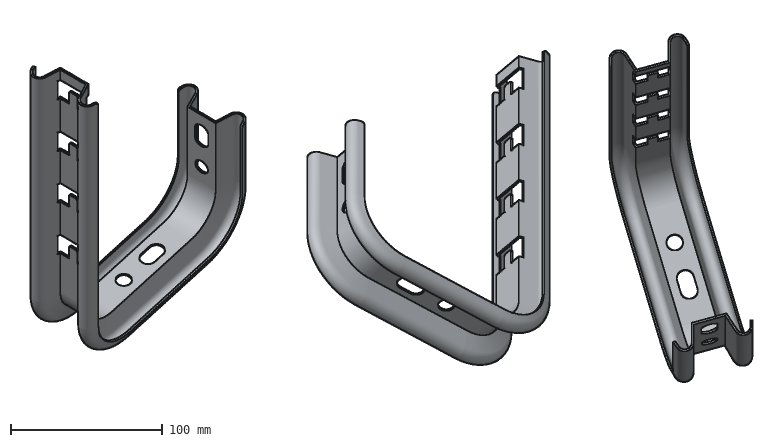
import cadquery as cq
import math

WIDTH = 55.0
SPAN = 170.0
TALL_HEIGHT = 259.0
SHORT_HEIGHT = 109.0

THICKNESS = 1.5
DEPTH = 17.9
LOBE_CENTER_X = 20.2
LOBE_RADIUS = 6.2
SPLAY = math.radians(16)
LIP_CORNER_RADIUS = 2.5

INNER_BEND_RADIUS = 25.0
OUTER_BEND_RADIUS = INNER_BEND_RADIUS + DEPTH

WINDOW_COUNT = 4
WINDOW_PITCH = 50.0
WINDOW_TOP_GAP = 10.0
WINDOW_HEIGHT = 17.9
WINDOW_DEPTH = 3.4
TONGUE_WIDTH = 7.0
TONGUE_HEIGHT = 12.0
TONGUE_CORNER_RADIUS = 1.5

HOLE_DIAMETER = 11.0
SLOT_WIDTH = 11.5
SLOT_LENGTH = 20.2
HOLE_SPACING = 30.0
SHORT_LEG_SLOT_DROP = 20.2

TALL_CROWN_Y = -SPAN / 2
SHORT_CROWN_Y = SPAN / 2
TALL_WEB_Y = TALL_CROWN_Y + DEPTH
SHORT_WEB_Y = SHORT_CROWN_Y - DEPTH
BASE_WEB_Z = DEPTH

LIP_LENGTH = (WIDTH / 2 - LOBE_CENTER_X - LOBE_RADIUS * math.cos(SPLAY)) / math.sin(SPLAY)


def surface_points(radius, web_depth):
    """Web corner, arc start, crown, arc end and lip tip of one sheet surface, as (x, depth)."""
    half_chord = radius * math.cos(SPLAY)
    tangent_depth = LOBE_RADIUS - radius * math.sin(SPLAY)
    arc_start = (LOBE_CENTER_X - half_chord, tangent_depth)
    arc_end = (LOBE_CENTER_X + half_chord, tangent_depth)
    crown = (LOBE_CENTER_X, LOBE_RADIUS - radius)
    web_corner = (arc_start[0] - (web_depth - tangent_depth) * math.tan(SPLAY), web_depth)
    lip_tip = (
        arc_end[0] + LIP_LENGTH * math.sin(SPLAY),
        arc_end[1] + LIP_LENGTH * math.cos(SPLAY),
    )
    return [web_corner, arc_start, crown, arc_end, lip_tip]


def mirrored(points):
    return [(-x, depth) for x, depth in points]


def trace_surface(sketch, points):
    """Continue the outline to one end of a surface half, around its lobe and to the other end."""
    first, arc_first, crown, arc_last, last = points
    return (
        sketch.lineTo(*first)
        .lineTo(*arc_first)
        .threePointArc(crown, arc_last)
        .lineTo(*last)
    )


def channel_section():
    """Closed channel outline at the top of the tall leg, with depth running along +Y."""
    convex = surface_points(LOBE_RADIUS, DEPTH - THICKNESS)
    concave = surface_points(LOBE_RADIUS - THICKNESS, DEPTH)
    plane = cq.Workplane("XY", origin=(0, TALL_CROWN_Y, TALL_HEIGHT))
    sketch = plane.moveTo(0, DEPTH - THICKNESS)
    sketch = trace_surface(sketch, convex)
    sketch = trace_surface(sketch, concave[::-1])
    sketch = trace_surface(sketch, mirrored(concave))
    sketch = trace_surface(sketch, mirrored(convex)[::-1])
    return sketch.close()


def crown_path():
    """Path of the lobe crowns: down the tall leg, across the base and up the short leg."""
    arc_inset = OUTER_BEND_RADIUS * (1 - math.sqrt(0.5))
    return (
        cq.Workplane("YZ")
        .moveTo(TALL_CROWN_Y, TALL_HEIGHT)
        .lineTo(TALL_CROWN_Y, OUTER_BEND_RADIUS)
        .threePointArc(
            (TALL_CROWN_Y + arc_inset, arc_inset),
            (TALL_CROWN_Y + OUTER_BEND_RADIUS, 0),
        )
        .lineTo(SHORT_CROWN_Y - OUTER_BEND_RADIUS, 0)
        .threePointArc(
            (SHORT_CROWN_Y - arc_inset, arc_inset),
            (SHORT_CROWN_Y, OUTER_BEND_RADIUS),
        )
        .lineTo(SHORT_CROWN_Y, SHORT_HEIGHT)
    )


def window_cutter(top_z):
    """Full-width notch through the web and into both flanges, sparing a tongue in the web."""
    bottom_z = top_z - WINDOW_HEIGHT
    notch = cq.Workplane("XY").box(WIDTH, WINDOW_DEPTH, WINDOW_HEIGHT, centered=(True, False, False))
    notch = notch.translate((0, TALL_WEB_Y - WINDOW_DEPTH, bottom_z))
    tongue = (
        cq.Workplane("XY")
        .box(TONGUE_WIDTH, THICKNESS, TONGUE_HEIGHT, centered=(True, False, False))
        .edges("|Y and >Z")
        .fillet(TONGUE_CORNER_RADIUS)
        .translate((0, TALL_WEB_Y - THICKNESS, bottom_z))
    )
    return notch.cut(tongue)


def fixing_holes(web_plane, slot_position, hole_position):
    """Slot and round hole sunk from a web face, at positions along the plane's local Y."""
    slot = web_plane.center(0, slot_position).slot2D(SLOT_LENGTH, SLOT_WIDTH, 90).extrude(-THICKNESS)
    hole = web_plane.center(0, hole_position).circle(HOLE_DIAMETER / 2).extrude(-THICKNESS)
    return slot.union(hole)


def round_lip_corners(channel):
    """Round the free corner of both lips at the top of each leg."""
    tip_x, tip_depth = surface_points(LOBE_RADIUS - THICKNESS / 2, DEPTH)[-1]
    tall_tip = (TALL_CROWN_Y + tip_depth, TALL_HEIGHT)
    short_tip = (SHORT_CROWN_Y - tip_depth, SHORT_HEIGHT)
    for y, z in (tall_tip, short_tip):
        for x in (-tip_x, tip_x):
            corner = cq.selectors.NearestToPointSelector((x, y, z))
            channel = channel.edges(corner).fillet(LIP_CORNER_RADIUS)
    return channel


result = round_lip_corners(channel_section().sweep(crown_path()))

for index in range(WINDOW_COUNT):
    result = result.cut(window_cutter(TALL_HEIGHT - WINDOW_TOP_GAP - index * WINDOW_PITCH))

base_web = cq.Workplane("XY", origin=(0, 0, BASE_WEB_Z))
result = result.cut(fixing_holes(base_web, HOLE_SPACING / 2, -HOLE_SPACING / 2))

short_web = cq.Workplane("XZ", origin=(0, SHORT_WEB_Y, 0))
slot_z = SHORT_HEIGHT - SHORT_LEG_SLOT_DROP
result = result.cut(fixing_holes(short_web, slot_z, slot_z - HOLE_SPACING))